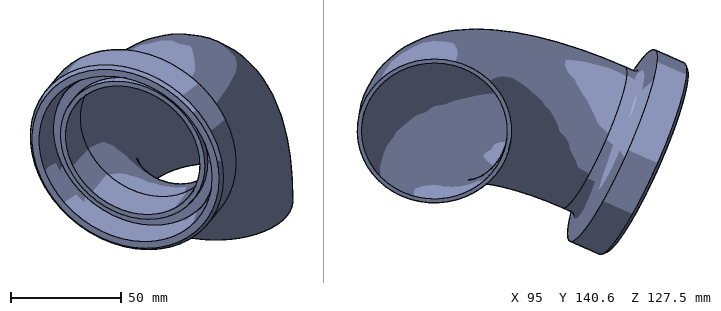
import cadquery as cq
import math

TUBE_OUTER_DIAMETER = 70.0
BORE_DIAMETER = 66.0
BEND_RADIUS = 80.0
BEND_ANGLE = 90

FERRULE_LENGTH = 25.6
FLANGE_DIAMETER = 95.0
FLANGE_THICKNESS = 16.3
EDGE_CHAMFER = 1.5
BACK_TAPER_ANGLE = 10
NECK_FILLET = 3.4

SOCKET_MOUTH_DIAMETER = 85.0
SOCKET_FLOOR_DIAMETER = 80.8
SOCKET_CONE_DEPTH = 8.0
SOCKET_DEPTH = 11.8

LIP_DIAMETER = 71.0
LIP_TOP = 8.3

tube_radius = TUBE_OUTER_DIAMETER / 2
bore_radius = BORE_DIAMETER / 2
flange_radius = FLANGE_DIAMETER / 2
socket_floor_radius = SOCKET_FLOOR_DIAMETER / 2
lip_radius = LIP_DIAMETER / 2


def make_elbow():
    """Quarter-circle pipe from the ferrule end down to the open lower end."""
    pipe_end = cq.Workplane(cq.Plane((0, FERRULE_LENGTH, 0), (1, 0, 0), (0, -1, 0)))
    ring = pipe_end.circle(tube_radius).circle(bore_radius)
    axis_point = (0, -BEND_RADIUS)
    axis_direction_point = (-1, -BEND_RADIUS)
    return ring.revolve(BEND_ANGLE, axis_point, axis_direction_point)


def make_ferrule():
    """Flanged end piece, turned about the Y axis."""
    taper = math.radians(BACK_TAPER_ANGLE)
    back_root = FLANGE_THICKNESS + (flange_radius - tube_radius) * math.tan(taper)

    turn = math.pi / 2 - taper
    tangent_length = NECK_FILLET * math.tan(turn / 2)
    fillet_center = (tube_radius + NECK_FILLET, back_root + tangent_length)
    fillet_end_on_back = (
        tube_radius + tangent_length * math.cos(taper),
        back_root - tangent_length * math.sin(taper),
    )
    fillet_middle = (
        fillet_center[0] - NECK_FILLET * math.cos(turn / 2),
        fillet_center[1] - NECK_FILLET * math.sin(turn / 2),
    )
    fillet_end_on_neck = (tube_radius, fillet_center[1])

    profile = (
        cq.Workplane("XY")
        .moveTo(SOCKET_MOUTH_DIAMETER / 2, 0)
        .lineTo(flange_radius - EDGE_CHAMFER, 0)
        .lineTo(flange_radius, EDGE_CHAMFER)
        .lineTo(flange_radius, FLANGE_THICKNESS)
        .lineTo(*fillet_end_on_back)
        .threePointArc(fillet_middle, fillet_end_on_neck)
        .lineTo(tube_radius, FERRULE_LENGTH)
        .lineTo(bore_radius, FERRULE_LENGTH)
        .lineTo(bore_radius, LIP_TOP)
        .lineTo(lip_radius, LIP_TOP)
        .lineTo(lip_radius, SOCKET_DEPTH)
        .lineTo(socket_floor_radius, SOCKET_DEPTH)
        .lineTo(socket_floor_radius, SOCKET_CONE_DEPTH)
        .close()
    )
    return profile.revolve(360, (0, 0), (0, 1))


elbow = make_elbow()
ferrule = make_ferrule()

result = cq.Compound.makeCompound([elbow.val(), ferrule.val()])